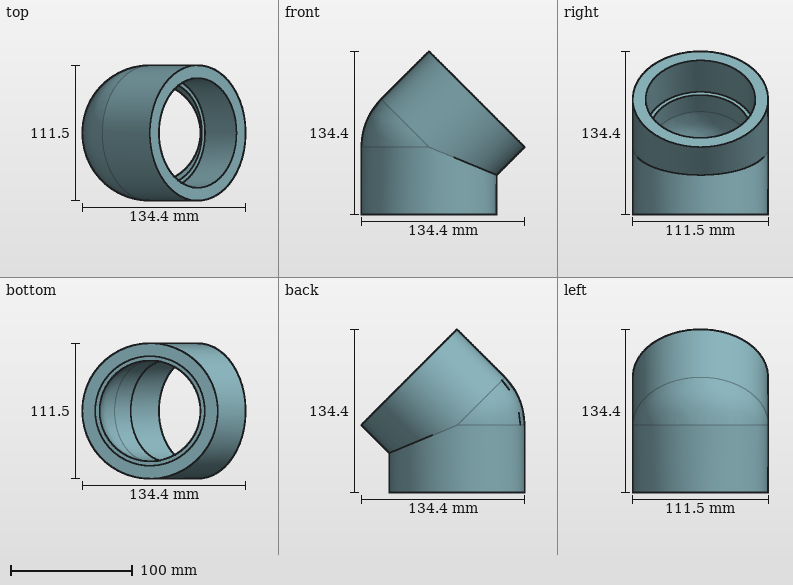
import cadquery as cq
import math

overall_width = 134.4
outer_diameter = 111.5
socket_diameter = 90.0
bore_diameter = 82.8
socket_depth = 36.5
bend_angle = 45.0

outer_radius = outer_diameter / 2
leg_length = (overall_width - outer_radius) / math.sin(math.radians(bend_angle)) - outer_radius

lower_direction = cq.Vector(0, 0, -1)
upper_direction = cq.Vector(
    math.sin(math.radians(bend_angle)), 0, math.cos(math.radians(bend_angle))
)


def leg_cylinder(diameter, direction, start, length):
    """Cylinder along a leg, starting at a distance from the bend centre."""
    return cq.Workplane(
        cq.Solid.makeCylinder(diameter / 2, length, direction * start, direction)
    )


def bent_round(diameter):
    """Two legs, with a ball wedge filling the gap on the outside of the bend."""
    radius = diameter / 2
    ball_wedge = (
        cq.Workplane("XY")
        .moveTo(0, -radius)
        .threePointArc((-radius, 0), (0, radius))
        .close()
        .revolve(bend_angle, (0, 0, 0), (0, 1, 0))
    )
    lower_leg = leg_cylinder(diameter, lower_direction, 0, leg_length)
    upper_leg = leg_cylinder(diameter, upper_direction, 0, leg_length)
    return lower_leg.union(upper_leg).union(ball_wedge)


result = bent_round(outer_diameter).cut(bent_round(bore_diameter))

for leg_direction in (lower_direction, upper_direction):
    socket = leg_cylinder(
        socket_diameter, leg_direction, leg_length - socket_depth, socket_depth
    )
    result = result.cut(socket)